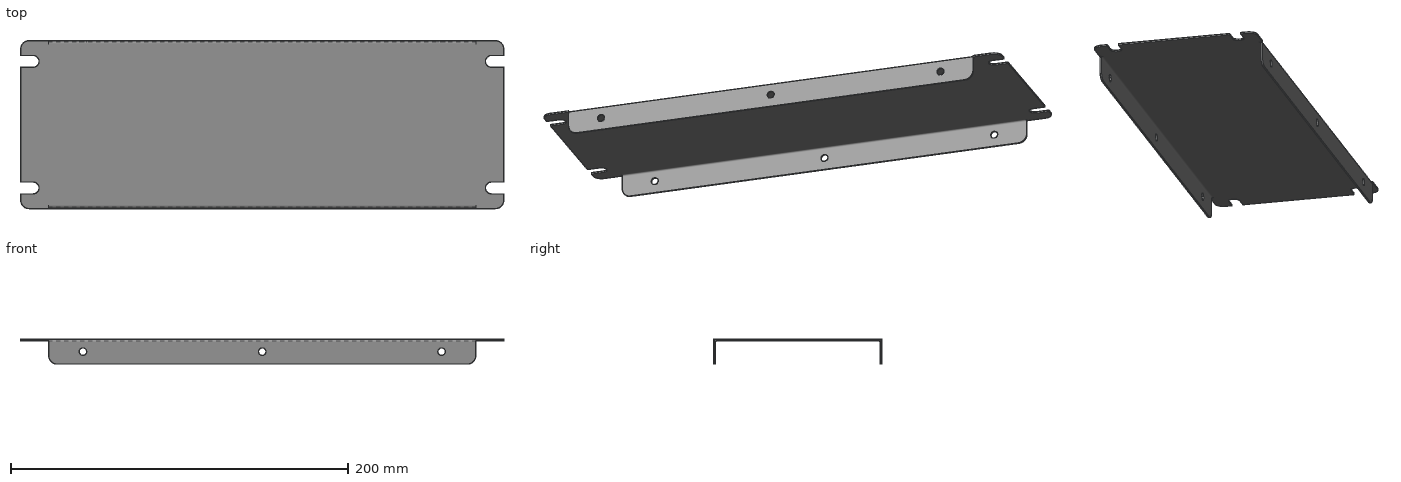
import cadquery as cq

length = 286.5
width = 99.7
height = 15.0

thickness = 1.0
inner_bend_radius = 1.0
outer_bend_radius = inner_bend_radius + thickness

corner_radius = 5.2
slot_width = 7.0
slot_depth = 11.0
slot_spacing = 75.0

flange_setback = 16.5
flange_length = length - 2 * flange_setback
flange_corner_radius = 5.2
hole_diameter = 4.3
hole_spacing = 106.3
hole_depth_from_top = 7.5


def make_plate():
    """Flat plate with rounded corners, its top face at Z = 0."""
    plate = cq.Workplane("XY").box(length, width, thickness, centered=(True, True, False))
    plate = plate.translate((0, 0, -thickness)).edges("|Z").fillet(corner_radius)
    for side in (-1, 1):
        bend_space = cq.Workplane("XY").box(flange_length, outer_bend_radius, height)
        plate = plate.cut(bend_space.translate((0, side * (width - outer_bend_radius) / 2, 0)))
    return plate


def make_channel():
    """Folded U section: the middle of the plate and both side flanges."""
    outer = cq.Workplane("XY").box(flange_length, width, height, centered=(True, True, False))
    outer = outer.translate((0, 0, -height)).edges("|X and >Z").fillet(outer_bend_radius)
    inner_width = width - 2 * thickness
    inner = cq.Workplane("XY").box(flange_length, inner_width, height, centered=(True, True, False))
    inner = inner.translate((0, 0, -height - thickness)).edges("|X and >Z").fillet(inner_bend_radius)
    return outer.cut(inner).edges("|Y and <Z").fillet(flange_corner_radius)


def make_slots():
    """Round-ended slots open to both ends of the plate."""
    slot_centres = [(x, y) for x in (-length / 2, length / 2) for y in (-slot_spacing / 2, slot_spacing / 2)]
    slots = cq.Workplane("XY").pushPoints(slot_centres).slot2D(2 * slot_depth, slot_width)
    return slots.extrude(-height)


def make_flange_holes():
    """Three evenly spaced holes passing through both flanges."""
    hole_centres = [(step * hole_spacing, -hole_depth_from_top) for step in (-1, 0, 1)]
    holes = cq.Workplane("XZ").pushPoints(hole_centres).circle(hole_diameter / 2)
    return holes.extrude(width, both=True)


result = make_plate().union(make_channel()).cut(make_slots()).cut(make_flange_holes())